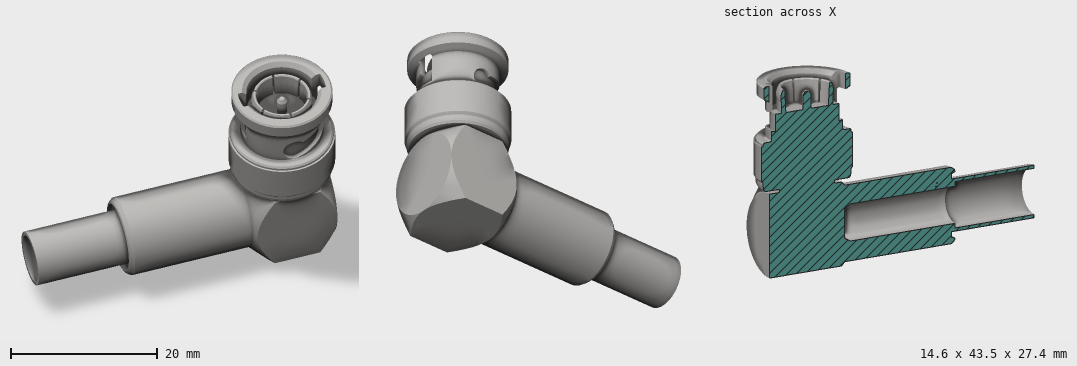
import cadquery as cq
import math


block_size = 12.0
block_half = block_size / 2
block_cone_reach = 8.7

sleeve_radius = 5.5
sleeve_end = 23.58
sleeve_bevel_start = 22.92
sleeve_bevel_end = 23.45
sleeve_bevel_radius = 5.1
sleeve_rim_radius = 4.85
sleeve_dish_mouth_radius = 4.7
sleeve_dish_radius = 4.52
sleeve_dish_depth = 0.52
tube_radius = 3.8
tube_end = 36.2
tube_bore_radius = 3.25
ferrule_bore_radius = 2.6
ferrule_seat_radius = 2.15
ferrule_seat_depth = 0.85

neck_radius = 5.7
neck_foot_radius = 5.95
neck_foot_top = 13.55
shoulder_ring_radius = 4.45
collar_radius = 7.3
collar_step_radius = 7.05
collar_edge = 0.2
collar_base = 6.4
collar_base_radius = 6.75
collar_base_facet_radius = 6.95
collar_base_facet = 6.75
collar_base_bevel_top = 7.15
collar_step_end = 7.65
collar_bottom = 8.0
collar_top = 12.88
collar_shoulder = 13.4
flange_radius = 6.9
flange_edge = 0.2
flange_cone_bottom = 18.9
flange_bottom = 19.5
nut_top = 21.35

mouth_radius = 5.45
bore_radius = 4.87
mouth_depth = 0.55
floor_height = 17.23

track_floor_radius = 5.1
entry_width = 2.55
entry_reach = 6.05
entry_bottom = 16.55
lock_height = 15.2
lock_radius = 1.6
track_upper_offset = 0.75
track_rise_per_length = 0.24
track_slope = math.degrees(math.atan(track_rise_per_length))

finger_count = 6
finger_root_radius = 3.35
finger_lip_radius = 3.65
finger_tip_radius = 3.85
finger_lip_chamfer = 0.15
finger_base_radius = 4.15
finger_bulge_radius = 4.2
finger_bulge_bottom = 18.7
finger_bulge_height = 19.35
finger_top = 20.5
finger_gap = 0.35
pin_radius = 0.7
pin_tip_radius = 0.35
pin_shoulder = 19.23
pin_top = 19.75


def cylinder_z(radius, bottom, top):
    return cq.Workplane("XY").workplane(offset=bottom).circle(radius).extrude(top - bottom)


def revolve_about_z(points):
    """Turn a closed (radius, height) outline about the nut axis."""
    return cq.Workplane("XZ").polyline(points).close().revolve(360, (0, 0), (0, 1))


def revolve_about_y(points):
    """Turn a closed (radius, y) outline about the cable axis."""
    return cq.Workplane("XY").polyline(points).close().revolve(360, (0, 0), (0, 1))


def make_block():
    """Cube whose corners are turned off by a 45 degree cone at each end of the cable axis."""
    block = cq.Workplane("XY").box(block_size, block_size, block_size)
    turned_envelope = revolve_about_y([
        (0, block_half),
        (block_half, block_half),
        (block_cone_reach, block_half - (block_cone_reach - block_half)),
        (block_cone_reach, -block_half + (block_cone_reach - sleeve_radius)),
        (sleeve_radius, -block_half),
        (0, -block_half),
    ])
    return block.intersect(turned_envelope)


def make_cable_end():
    """Crimp sleeve with a dished end face, and the stepped hollow tube leaving it."""
    sleeve = revolve_about_y([
        (0, 0),
        (sleeve_radius, 0),
        (sleeve_radius, -sleeve_bevel_start),
        (sleeve_bevel_radius, -sleeve_bevel_end),
        (sleeve_rim_radius, -sleeve_end),
        (sleeve_dish_mouth_radius, -sleeve_end),
        (sleeve_dish_radius, -sleeve_end + sleeve_dish_depth),
        (0, -sleeve_end + sleeve_dish_depth),
    ])
    tube = cq.Workplane("XZ").circle(tube_radius).extrude(tube_end)
    seat_end = -block_half - ferrule_seat_depth
    bore = revolve_about_y([
        (0, -tube_end),
        (tube_bore_radius, -tube_end),
        (tube_bore_radius, -sleeve_end),
        (ferrule_bore_radius, -sleeve_end),
        (ferrule_bore_radius, seat_end),
        (ferrule_seat_radius, -block_half),
        (0, -block_half),
    ])
    return sleeve.union(tube), bore


def make_nut():
    """Turned coupling nut with its chamfered mouth, closed at the washer floor."""
    nut = revolve_about_z([
        (0, 0),
        (shoulder_ring_radius, 0),
        (shoulder_ring_radius, collar_base),
        (collar_base_radius, collar_base),
        (collar_base_facet_radius, collar_base_facet),
        (collar_step_radius, collar_base_bevel_top),
        (collar_step_radius, collar_step_end),
        (collar_radius, collar_bottom),
        (collar_radius, collar_top),
        (collar_step_radius, collar_top),
        (collar_step_radius, collar_shoulder - collar_edge),
        (collar_step_radius - collar_edge, collar_shoulder),
        (neck_foot_radius, collar_shoulder),
        (neck_radius, neck_foot_top),
        (neck_radius, flange_cone_bottom),
        (flange_radius, flange_bottom),
        (flange_radius, nut_top - flange_edge),
        (flange_radius - flange_edge, nut_top),
        (0, nut_top),
    ])
    mouth = revolve_about_z([
        (0, floor_height),
        (bore_radius, floor_height),
        (bore_radius, nut_top - mouth_depth),
        (mouth_radius, nut_top),
        (0, nut_top),
    ])
    return nut.cut(mouth)


def make_track():
    """Bayonet track: entry notch on -Y, a ramp around the corner, a round lock on -X."""
    entry = (
        cq.Workplane("XY").workplane(offset=entry_bottom)
        .center(0, -entry_reach / 2).rect(entry_width, entry_reach)
        .extrude(nut_top - entry_bottom)
        .intersect(cylinder_z(entry_reach, entry_bottom, nut_top))
    )
    cut_start = -collar_radius
    lock = (
        cq.Workplane("YZ").workplane(offset=cut_start).center(0, lock_height)
        .circle(lock_radius).extrude(collar_radius)
    )
    ramp = (
        cq.Workplane("YZ").workplane(offset=cut_start)
        .center(0, lock_height)
        .transformed(rotate=(0, 0, -track_slope))
        .center(-collar_radius / 2, (track_upper_offset - lock_radius) / 2)
        .rect(collar_radius, lock_radius + track_upper_offset)
        .extrude(collar_radius + entry_width / 2)
    )
    return entry.union(lock).union(ramp).cut(cylinder_z(track_floor_radius, 0, floor_height))


def make_fingers():
    """Ring of sprung contact fingers, flared inside and bulged outside, split by slots."""
    ring = (
        cq.Workplane("XZ")
        .moveTo(finger_root_radius, 0)
        .lineTo(finger_base_radius, 0)
        .lineTo(finger_base_radius, finger_bulge_bottom)
        .threePointArc((finger_bulge_radius, finger_bulge_height), (finger_tip_radius, finger_top))
        .lineTo(finger_lip_radius, finger_top)
        .lineTo(finger_lip_radius - finger_lip_chamfer, finger_top - finger_lip_chamfer)
        .lineTo(finger_root_radius, floor_height)
        .close()
        .revolve(360, (0, 0), (0, 1))
    )
    slot = cq.Workplane("XY").workplane(offset=floor_height).rect(
        2 * bore_radius, finger_gap).extrude(nut_top - floor_height)
    for index in range(finger_count // 2):
        ring = ring.cut(slot.rotate((0, 0, 0), (0, 0, 1), index * 360 / finger_count))
    return ring


def make_pin():
    """Centre contact with a tapered tip."""
    return revolve_about_z([
        (0, 0),
        (pin_radius, 0),
        (pin_radius, pin_shoulder),
        (pin_tip_radius, pin_top),
        (0, pin_top),
    ])


nut = make_nut()
track = make_track()
for turn in (0, 180):
    nut = nut.cut(track.rotate((0, 0, 0), (0, 0, 1), turn))

cable_end, cable_bore = make_cable_end()
result = make_block().union(cable_end).union(nut).cut(cable_bore)
result = result.union(make_fingers()).union(make_pin())